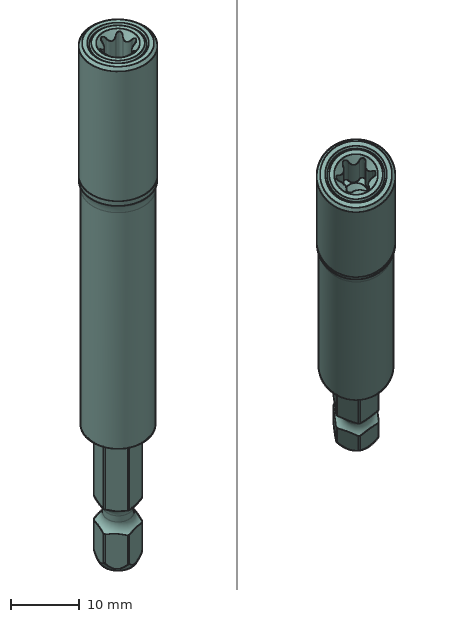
import cadquery as cq
import math

total_length = 100.0
barrel_bottom = 25.7
flare_bottom = 71.9
collar_bottom = 73.2
sleeve_bottom = 74.3

sleeve_diameter = 11.5
sleeve_radius = sleeve_diameter / 2
barrel_radius = 5.5
nose_radius = 4.2
sleeve_top_chamfer = 0.5
groove_chamfer = 0.3
barrel_chamfer = 0.3
flare_width = 0.15
collar_bevel_height = 0.2

hex_sides = 6
hex_across_flats = 6.3
corner_diameter = 7.1
corner_radius = corner_diameter / 2
tip_radius = 2.9
tip_chamfer_height = 1.5

waist_radius = 2.3
waist_bottom = 9.0
waist_top = 10.2
waist_blend_radius = 1.9
groove_clearance = 0.2

lobe_count = 6
socket_depth = 8.0
socket_floor = total_length - socket_depth
lobe_tip_distance = 2.9
ridge_distance = 2.0
lobe_round = 0.5
mouth_radius = 3.2
mouth_bottom_radius = 1.8
mouth_angle = 45.0
drill_radius = 1.9
drill_tip_angle = 118.0


def polar(distance, angle):
    """Point at a distance from the axis and an angle in degrees."""
    return (
        distance * math.cos(math.radians(angle)),
        distance * math.sin(math.radians(angle)),
    )


def cylinder(radius, bottom, top):
    return cq.Workplane("XY", origin=(0, 0, bottom)).circle(radius).extrude(top - bottom)


def revolved(profile):
    """Turn a closed radius-height profile about the Z axis."""
    return profile.close().revolve(360, (0, 0), (0, 1))


def make_barrel():
    """Round barrel with a flared neck, a collar under the sleeve and the nose inside the sleeve."""
    flare_height = collar_bottom - flare_bottom
    flare_radius = (flare_height**2 + flare_width**2) / (2 * flare_width)
    half_sweep = math.asin(flare_height / flare_radius) / 2
    flare_middle = (
        barrel_radius + flare_radius * (1 - math.cos(half_sweep)),
        flare_bottom + flare_radius * math.sin(half_sweep),
    )
    profile = (
        cq.Workplane("XZ")
        .moveTo(0, barrel_bottom)
        .lineTo(barrel_radius - barrel_chamfer, barrel_bottom)
        .lineTo(barrel_radius, barrel_bottom + barrel_chamfer)
        .lineTo(barrel_radius, flare_bottom)
        .threePointArc(flare_middle, (barrel_radius + flare_width, collar_bottom))
        .lineTo(sleeve_radius, collar_bottom + collar_bevel_height)
        .lineTo(sleeve_radius, sleeve_bottom)
        .lineTo(nose_radius, sleeve_bottom)
        .lineTo(nose_radius, total_length - groove_chamfer)
        .lineTo(nose_radius - groove_chamfer, total_length)
        .lineTo(0, total_length)
    )
    return revolved(profile)


def make_retaining_groove():
    """Ring cutter with a straight waist and a concave arc on each side of it."""
    outer_radius = corner_radius + groove_clearance
    rise = waist_radius + waist_blend_radius - outer_radius
    blend_height = math.sqrt(waist_blend_radius**2 - rise**2)
    half_sweep = math.asin(blend_height / waist_blend_radius) / 2
    middle_radius = waist_radius + waist_blend_radius * (1 - math.cos(half_sweep))
    middle_height = waist_blend_radius * math.sin(half_sweep)
    profile = (
        cq.Workplane("XZ")
        .moveTo(outer_radius, waist_bottom - blend_height)
        .threePointArc((middle_radius, waist_bottom - middle_height), (waist_radius, waist_bottom))
        .lineTo(waist_radius, waist_top)
        .threePointArc((middle_radius, waist_top + middle_height), (outer_radius, waist_top + blend_height))
    )
    return revolved(profile)


def make_shank():
    """Hex shank with corners turned round, a coned tip and a retaining groove."""
    hex_bar = (
        cq.Workplane("XY")
        .polygon(hex_sides, hex_across_flats / math.cos(math.pi / hex_sides))
        .extrude(barrel_bottom)
    )
    turned_envelope = revolved(
        cq.Workplane("XZ")
        .moveTo(0, 0)
        .lineTo(tip_radius, 0)
        .lineTo(corner_radius, tip_chamfer_height)
        .lineTo(corner_radius, barrel_bottom)
        .lineTo(0, barrel_bottom)
    )
    return hex_bar.intersect(turned_envelope).cut(make_retaining_groove())


def make_lobed_recess():
    """Six rounded lobes joined by tangent convex ridges."""
    pitch = 360 / lobe_count
    half_pitch = pitch / 2
    lobe_center = lobe_tip_distance - lobe_round
    lobe_reach = lobe_center * math.cos(math.radians(half_pitch))
    ridge_round = (
        ridge_distance**2 + lobe_center**2 - 2 * lobe_reach * ridge_distance - lobe_round**2
    ) / (2 * (lobe_reach + lobe_round - ridge_distance))
    ridge_center = ridge_distance + ridge_round

    ridge_share = ridge_round / (ridge_round + lobe_round)
    lobe_x, lobe_y = polar(lobe_center, half_pitch)
    tangent_x = ridge_center + ridge_share * (lobe_x - ridge_center)
    tangent_y = ridge_share * lobe_y
    tangent_distance = math.hypot(tangent_x, tangent_y)
    tangent_angle = math.degrees(math.atan2(tangent_y, tangent_x))

    start = polar(tangent_distance, -tangent_angle)
    outline = cq.Workplane("XY", origin=(0, 0, socket_floor)).moveTo(*start)
    for index in range(lobe_count):
        ridge_angle = index * pitch
        lobe_angle = ridge_angle + half_pitch
        outline = outline.threePointArc(
            polar(ridge_distance, ridge_angle),
            polar(tangent_distance, ridge_angle + tangent_angle),
        ).threePointArc(
            polar(lobe_tip_distance, lobe_angle),
            polar(tangent_distance, ridge_angle + pitch - tangent_angle),
        )
    return outline.close().extrude(socket_depth)


def make_socket():
    """Lobed recess with a coned mouth and a drill point in its floor."""
    drill_tip_depth = drill_radius / math.tan(math.radians(drill_tip_angle / 2))
    drill_point = revolved(
        cq.Workplane("XZ")
        .moveTo(0, socket_floor - drill_tip_depth)
        .lineTo(drill_radius, socket_floor)
        .lineTo(0, socket_floor)
    )
    mouth_depth = (mouth_radius - mouth_bottom_radius) / math.tan(math.radians(mouth_angle))
    mouth = revolved(
        cq.Workplane("XZ")
        .moveTo(0, total_length - mouth_depth)
        .lineTo(mouth_bottom_radius, total_length - mouth_depth)
        .lineTo(mouth_radius, total_length)
        .lineTo(0, total_length)
    )
    return make_lobed_recess().union(mouth).union(drill_point)


def make_driver():
    """Shank, barrel and nose in one piece."""
    return make_barrel().union(make_shank()).cut(make_socket())


def make_sleeve():
    """Plain sleeve around the nose, flush with the collar and the end face."""
    blank = cylinder(sleeve_radius, sleeve_bottom, total_length).faces(">Z").chamfer(sleeve_top_chamfer)
    bored = blank.cut(cylinder(nose_radius, sleeve_bottom, total_length))
    return bored.faces(">Z").edges(cq.selectors.RadiusNthSelector(0)).chamfer(groove_chamfer)


driver = make_driver()
sleeve = make_sleeve()

result = cq.Compound.makeCompound([driver.val(), sleeve.val()])